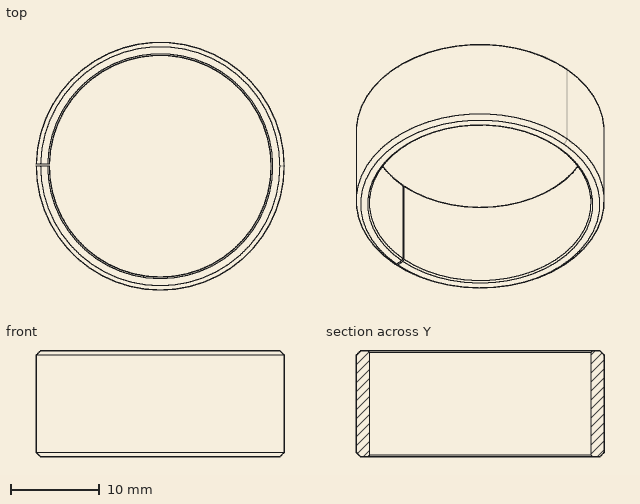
import cadquery as cq

outer_diameter = 28.0
bore_diameter = 25.0
height = 12.0
outer_chamfer = 0.5
bore_chamfer = 0.2
slit_width = 0.2
slit_offset = 0.15

outer_radius = outer_diameter / 2
bore_radius = bore_diameter / 2

wall_profile = [
    (bore_radius + bore_chamfer, 0),
    (outer_radius - outer_chamfer, 0),
    (outer_radius, outer_chamfer),
    (outer_radius, height - outer_chamfer),
    (outer_radius - outer_chamfer, height),
    (bore_radius + bore_chamfer, height),
    (bore_radius, height - bore_chamfer),
    (bore_radius, bore_chamfer),
]
ring = cq.Workplane("XZ").polyline(wall_profile).close().revolve(360, (0, 0), (0, 1))

slit = cq.Workplane("XY").box(outer_radius, slit_width, height, centered=(False, True, False))
slit = slit.translate((-outer_radius, slit_offset, 0))

result = ring.cut(slit)